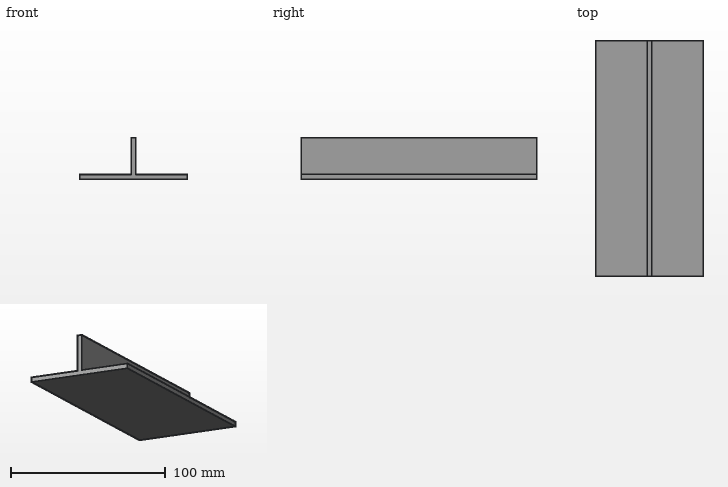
import cadquery as cq

length = 152.4
flange_width = 69.8
total_height = 27.0

wall_thickness = 3.2

flange = cq.Workplane("XY").box(flange_width, length, wall_thickness, centered=(True, True, False))

web = cq.Workplane("XY").box(wall_thickness, length, total_height, centered=(True, True, False))

result = flange.union(web)